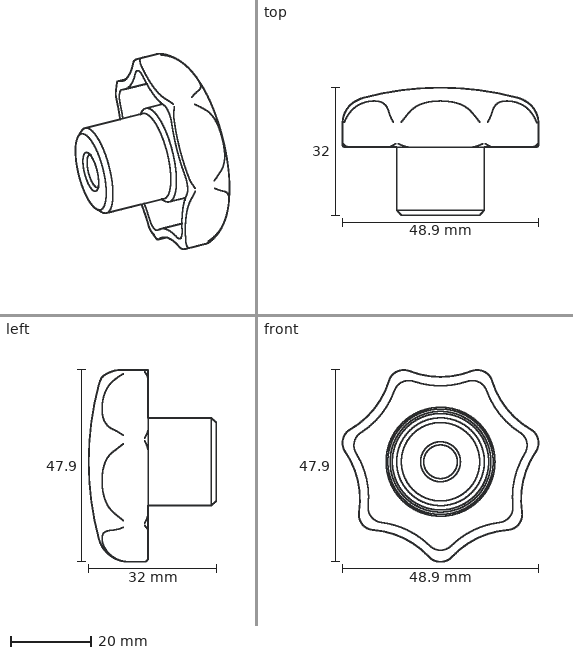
import cadquery as cq
import math

lobe_count = 7
half_pitch = math.pi / lobe_count

tip_radius = 25.0
valley_radius = 21.2
tip_rounding = 3.9
crown_height = 14.9
shoulder_start = 4.8
shoulder_rounding = 7.85
rim_rounding = 1.05

cavity_tip_radius = 22.05
cavity_valley_radius = 18.95
cavity_tip_rounding = 3.75
cavity_depth = 10.45

stem_radius = 10.95
stem_length = 17.05
stem_bevel_width = 1.17
stem_bevel_length = 1.3
hub_radius = 12.05
hub_bevel = hub_radius - stem_radius
collar_top_radius = 12.6
collar_radius = 13.15
collar_bevel = 0.3
base_radius = 13.6
base_height = 0.15

bore_radius = 4.2
bore_bevel = 0.8
bore_depth = 17.05


def ring_point(radius, angle):
    """Point at an angle measured from the downward (-Z) direction."""
    return radius * math.sin(angle), -radius * math.cos(angle)


def lobed_prism(tip, valley, rounding, depth):
    """Prism from y = 0 to y = depth, its tips and valleys being tangent arcs."""
    tip_center = tip - rounding
    cosine = math.cos(half_pitch)
    valley_rounding = (valley**2 + tip_center**2 - 2 * valley * tip_center * cosine - rounding**2) / (
        2 * (rounding - valley + tip_center * cosine)
    )
    valley_center = valley + valley_rounding

    def tangent_point(tip_angle, side):
        tip_x, tip_z = ring_point(tip_center, tip_angle)
        valley_x, valley_z = ring_point(valley_center, tip_angle + side * half_pitch)
        share = rounding / (rounding + valley_rounding)
        return tip_x + share * (valley_x - tip_x), tip_z + share * (valley_z - tip_z)

    outline = cq.Workplane("XZ").moveTo(*tangent_point(0, -1))
    for lobe in range(lobe_count):
        angle = 2 * half_pitch * lobe
        next_angle = angle + 2 * half_pitch
        outline = outline.threePointArc(ring_point(tip, angle), tangent_point(angle, 1))
        outline = outline.threePointArc(
            ring_point(valley, angle + half_pitch), tangent_point(next_angle, -1)
        )
    return outline.close().extrude(-depth)


def turned(profile):
    """Revolve a closed (radius, y) profile about the Y axis."""
    return profile.close().revolve(360, (0, 0, 0), (0, 1, 0))


def domed_blank():
    """Round cap with a shallow crown running tangentially into a rounded shoulder."""
    center_r = tip_radius - shoulder_rounding
    drop = crown_height - shoulder_start
    crown_radius = (center_r**2 + drop**2 - shoulder_rounding**2) / (2 * (drop - shoulder_rounding))
    join_angle = math.asin(center_r / (crown_radius - shoulder_rounding))

    def crown_point(angle):
        return crown_radius * math.sin(angle), crown_height - crown_radius * (1 - math.cos(angle))

    shoulder_angle = (join_angle + math.pi / 2) / 2
    shoulder_middle = (
        center_r + shoulder_rounding * math.sin(shoulder_angle),
        shoulder_start + shoulder_rounding * math.cos(shoulder_angle),
    )
    profile = (
        cq.Workplane("XY")
        .lineTo(tip_radius - rim_rounding, 0)
        .radiusArc((tip_radius, rim_rounding), -rim_rounding)
        .lineTo(tip_radius, shoulder_start)
        .threePointArc(shoulder_middle, crown_point(join_angle))
        .threePointArc(crown_point(join_angle / 2), (0, crown_height))
    )
    return turned(profile)


def hub_and_stem():
    """Stepped, bevelled hub, with a low collar at its foot, that stands on the cavity floor."""
    return turned(
        cq.Workplane("XY")
        .moveTo(0, -stem_length)
        .lineTo(stem_radius - stem_bevel_width, -stem_length)
        .lineTo(stem_radius, -stem_length + stem_bevel_length)
        .lineTo(stem_radius, 0)
        .lineTo(hub_radius, hub_bevel)
        .lineTo(hub_radius, cavity_depth - base_height - collar_bevel)
        .lineTo(collar_top_radius, cavity_depth - base_height - collar_bevel)
        .lineTo(collar_radius, cavity_depth - base_height)
        .lineTo(base_radius, cavity_depth - base_height)
        .lineTo(base_radius, cavity_depth)
        .lineTo(0, cavity_depth)
    )


def bore():
    """Blind hole with a bevelled mouth at the stem end."""
    return turned(
        cq.Workplane("XY")
        .moveTo(0, -stem_length)
        .lineTo(bore_radius + bore_bevel, -stem_length)
        .lineTo(bore_radius, -stem_length + bore_bevel)
        .lineTo(bore_radius, -stem_length + bore_depth)
        .lineTo(0, -stem_length + bore_depth)
    )


grip = domed_blank().intersect(lobed_prism(tip_radius, valley_radius, tip_rounding, crown_height))
cavity = lobed_prism(cavity_tip_radius, cavity_valley_radius, cavity_tip_rounding, cavity_depth)
result = grip.cut(cavity).union(hub_and_stem()).cut(bore())